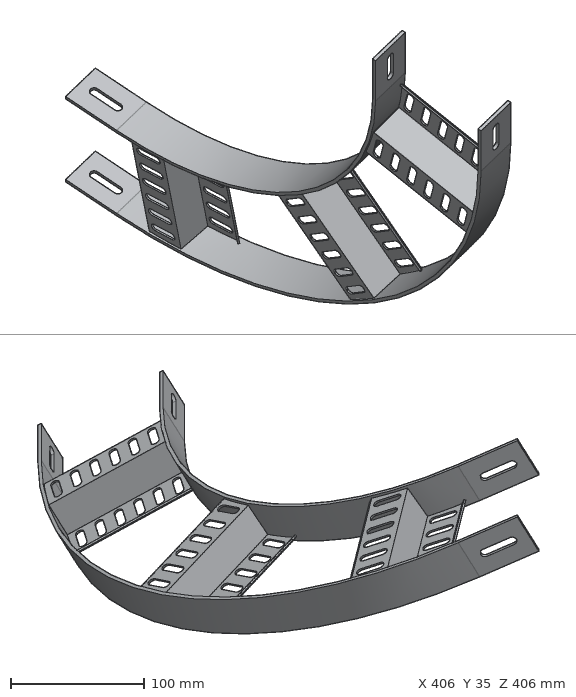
import cadquery as cq
import math

ENVELOPE = 406.0
RAIL_HEIGHT = 35.0
RAIL_THICKNESS = 3.0
RAIL_SPACING = 103.0
STRAIGHT_LENGTH = 50.0
BEND_RADIUS = ENVELOPE - STRAIGHT_LENGTH
END_SLOT_LENGTH = 30.0
END_SLOT_WIDTH = 7.0

RUNG_ANGLES = (10, 45, 80)
SHEET = 1.5
RUNG_DEPTH = 31.0
PLATE_WIDTH = 31.3
WEB_SLOPE = 1.5
LIP_LENGTH = 5.0
LIP_ANGLE = math.radians(40)
RUNG_SLOT_LENGTH = 23.0
RUNG_SLOT_WIDTH = 7.0
SLOT_COUNT = 6
SLOT_PITCH = 16.5
SLOTS_MIDDLE_RADIUS = 302.0
SLOT_ROW_OFFSET = 16.2

GAP_OUTER_RADIUS = BEND_RADIUS - RAIL_THICKNESS
GAP_INNER_RADIUS = BEND_RADIUS - RAIL_SPACING

BEND_CENTRE = (STRAIGHT_LENGTH - ENVELOPE / 2, 0, BEND_RADIUS - ENVELOPE / 2)


def make_rail(outer_radius):
    """One rail with a lengthwise slot in each straight end."""
    inner_radius = outer_radius - RAIL_THICKNESS
    diagonal = math.sqrt(0.5)
    rail = (
        cq.Workplane("XZ")
        .moveTo(-STRAIGHT_LENGTH, -outer_radius)
        .lineTo(0, -outer_radius)
        .threePointArc((outer_radius * diagonal, -outer_radius * diagonal), (outer_radius, 0))
        .lineTo(outer_radius, STRAIGHT_LENGTH)
        .lineTo(inner_radius, STRAIGHT_LENGTH)
        .lineTo(inner_radius, 0)
        .threePointArc((inner_radius * diagonal, -inner_radius * diagonal), (0, -inner_radius))
        .lineTo(-STRAIGHT_LENGTH, -inner_radius)
        .close()
        .extrude(RAIL_HEIGHT / 2, both=True)
    )
    lower_slot = (
        cq.Workplane("XY", origin=(-STRAIGHT_LENGTH / 2, 0, -outer_radius))
        .slot2D(END_SLOT_LENGTH, END_SLOT_WIDTH)
        .extrude(RAIL_THICKNESS)
    )
    upper_slot = (
        cq.Workplane("YZ", origin=(inner_radius, 0, STRAIGHT_LENGTH / 2))
        .slot2D(END_SLOT_LENGTH, END_SLOT_WIDTH, 90)
        .extrude(RAIL_THICKNESS)
    )
    return rail.cut(lower_slot).cut(upper_slot).translate(BEND_CENTRE)


def rung_section():
    """Corners of the Z section; the second half is the first turned by 180 degrees."""
    front = -RUNG_DEPTH / 2
    fold_inset = SHEET * math.tan(LIP_ANGLE / 2)
    lip_end_x = -PLATE_WIDTH - LIP_LENGTH * math.cos(LIP_ANGLE)
    lip_end_y = front + LIP_LENGTH * math.sin(LIP_ANGLE)
    half = [
        (-PLATE_WIDTH + fold_inset, front + SHEET),
        (lip_end_x + SHEET * math.sin(LIP_ANGLE), lip_end_y + SHEET * math.cos(LIP_ANGLE)),
        (lip_end_x, lip_end_y),
        (-PLATE_WIDTH, front),
        ((SHEET - WEB_SLOPE) / 2, front),
        ((SHEET + WEB_SLOPE) / 2, -front - SHEET),
    ]
    return half + [(-x, -y) for x, y in half]


def make_rung(angle):
    """One slotted rung, fitted between the rails at an angle along the bend."""
    blank = (
        cq.Workplane("XY", origin=(0, 0, -BEND_RADIUS))
        .polyline(rung_section())
        .close()
        .extrude(BEND_RADIUS)
    )
    gap_between_rails = (
        cq.Workplane("XZ")
        .circle(GAP_OUTER_RADIUS)
        .circle(GAP_INNER_RADIUS)
        .extrude(RAIL_HEIGHT / 2, both=True)
    )
    slots = (
        cq.Workplane("XZ", origin=(0, 0, -SLOTS_MIDDLE_RADIUS))
        .rarray(2 * SLOT_ROW_OFFSET, SLOT_PITCH, 2, SLOT_COUNT)
        .slot2D(RUNG_SLOT_LENGTH, RUNG_SLOT_WIDTH)
        .extrude(RUNG_DEPTH, both=True)
    )
    rung = blank.intersect(gap_between_rails).cut(slots)
    return rung.rotate((0, 0, 0), (0, 1, 0), -angle).translate(BEND_CENTRE)


outer_rail = make_rail(BEND_RADIUS)
inner_rail = make_rail(GAP_INNER_RADIUS)
rungs = [make_rung(angle) for angle in RUNG_ANGLES]

result = cq.Compound.makeCompound([
    outer_rail.val(),
    inner_rail.val(),
    *[rung.val() for rung in rungs],
])